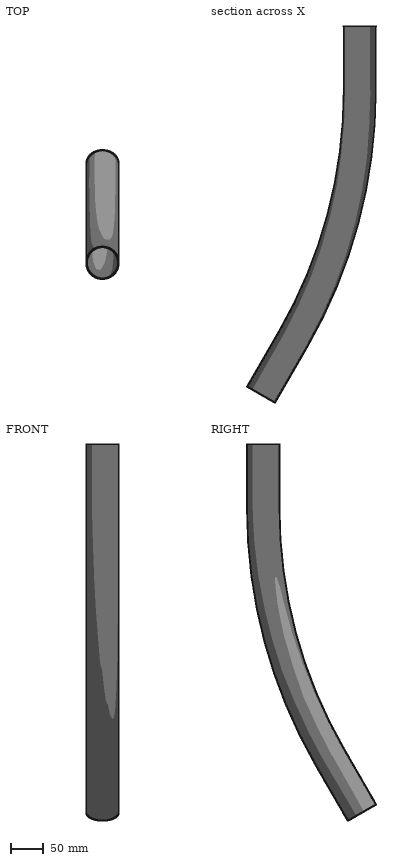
import cadquery as cq
import math

total_height = 583.0
outer_diameter = 51.0
inner_diameter = 48.0
straight_length = 100.0
bend_angle = 30.0

bend_sine = math.sin(math.radians(bend_angle))
bend_cosine = math.cos(math.radians(bend_angle))

straight_height = straight_length * (1 + bend_cosine)
corner_drop = outer_diameter / 2 * bend_sine
bend_radius = (total_height - straight_height - corner_drop) / bend_sine


def arc_point(angle):
    """Centreline point (Y, Z) after turning by the given angle in degrees."""
    turn = math.radians(angle)
    y = bend_radius * (1 - math.cos(turn))
    z = total_height - straight_length - bend_radius * math.sin(turn)
    return y, z


bend_end_y, bend_end_z = arc_point(bend_angle)
lower_end = (
    bend_end_y + straight_length * bend_sine,
    bend_end_z - straight_length * bend_cosine,
)
centreline = (
    cq.Workplane("YZ")
    .moveTo(0, total_height)
    .lineTo(*arc_point(0))
    .threePointArc(arc_point(bend_angle / 2), arc_point(bend_angle))
    .lineTo(*lower_end)
)

result = (
    cq.Workplane("XY", origin=(0, 0, total_height))
    .circle(outer_diameter / 2)
    .circle(inner_diameter / 2)
    .sweep(centreline)
)